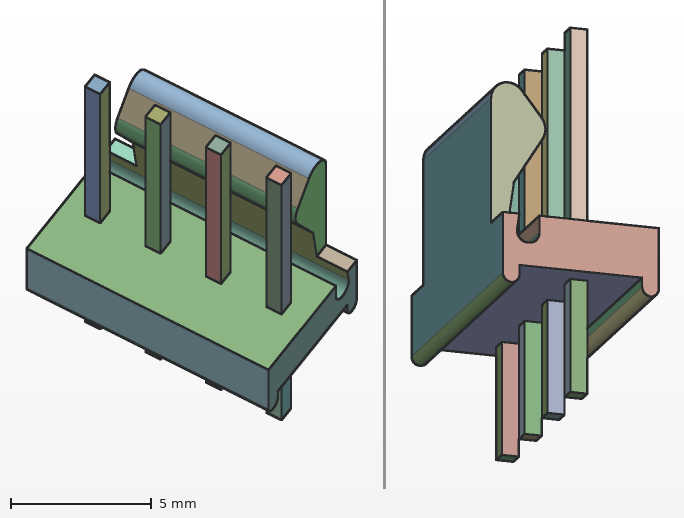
import cadquery as cq
import math


base_width = 10.17
base_depth = 5.85
base_thickness = 1.92
foot_radius = 0.31
foot_width = 2 * foot_radius
foot_height = 0.67

pin_count = 4
pin_pitch = 2.54
pin_size = 0.64
pin_length = 13.59
pin_top = 7.46
pin_setback = 3.17

arm_width = 7.58
tip_radius = 0.64
nose_radius = 0.72
tip_center = (-tip_radius, 4.66)
nose_center = (-1.3, 3.68)
knee = (-0.85, 1.6)
slot_radius = 0.42
slot_center = (-0.95, -0.63)


def on_circle(center, radius, angle):
    return (center[0] + radius * math.cos(angle), center[1] + radius * math.sin(angle))


def tangent_angle(point, center, radius, side):
    """Angle on a circle where a line from an outside point touches it; side is +1 or -1."""
    dy = point[0] - center[0]
    dz = point[1] - center[1]
    return math.atan2(dz, dy) + side * math.acos(radius / math.hypot(dy, dz))


def make_housing():
    span_y = nose_center[0] - tip_center[0]
    span_z = nose_center[1] - tip_center[1]
    radius_ratio = (tip_radius - nose_radius) / math.hypot(span_y, span_z)
    slope_normal = math.atan2(span_z, span_y) - math.acos(radius_ratio)
    nose_end = tangent_angle(knee, nose_center, nose_radius, -1)
    slot_start = tangent_angle(knee, slot_center, slot_radius, -1)

    front = -base_depth
    underside = -base_thickness
    foot_bottom = underside - foot_height
    foot_center_z = foot_bottom + foot_radius

    profile = (
        cq.Workplane("YZ")
        .moveTo(0, foot_center_z)
        .lineTo(0, tip_center[1])
        .threePointArc(
            on_circle(tip_center, tip_radius, math.pi / 2),
            on_circle(tip_center, tip_radius, slope_normal),
        )
        .lineTo(*on_circle(nose_center, nose_radius, slope_normal))
        .threePointArc(
            on_circle(nose_center, nose_radius, math.pi),
            on_circle(nose_center, nose_radius, nose_end),
        )
        .lineTo(*knee)
        .lineTo(*on_circle(slot_center, slot_radius, slot_start))
        .threePointArc(
            on_circle(slot_center, slot_radius, -math.pi / 2),
            on_circle(slot_center, slot_radius, math.pi),
        )
        .lineTo(slot_center[0] - slot_radius, 0)
        .lineTo(front, 0)
        .lineTo(front, foot_center_z)
        .threePointArc((front + foot_radius, foot_bottom), (front + foot_width, foot_center_z))
        .lineTo(front + foot_width, underside)
        .lineTo(-foot_width, underside)
        .lineTo(-foot_width, foot_center_z)
        .threePointArc((-foot_radius, foot_bottom), (0, foot_center_z))
        .close()
    )
    housing = profile.extrude(base_width / 2, both=True)

    side_width = (base_width - arm_width) / 2
    side_x = (base_width + arm_width) / 4
    arm_height = tip_center[1] + tip_radius
    for x in (-side_x, side_x):
        clearance = (
            cq.Workplane("XY")
            .center(x, -base_depth / 2)
            .rect(side_width, base_depth)
            .extrude(arm_height)
        )
        housing = housing.cut(clearance)
    return housing


def make_pins():
    return (
        cq.Workplane("XY", origin=(0, -pin_setback, pin_top - pin_length))
        .rarray(pin_pitch, 0.14, pin_count, 1)
        .rect(pin_size, pin_size)
        .extrude(pin_length)
    )


result = make_housing().union(make_pins())